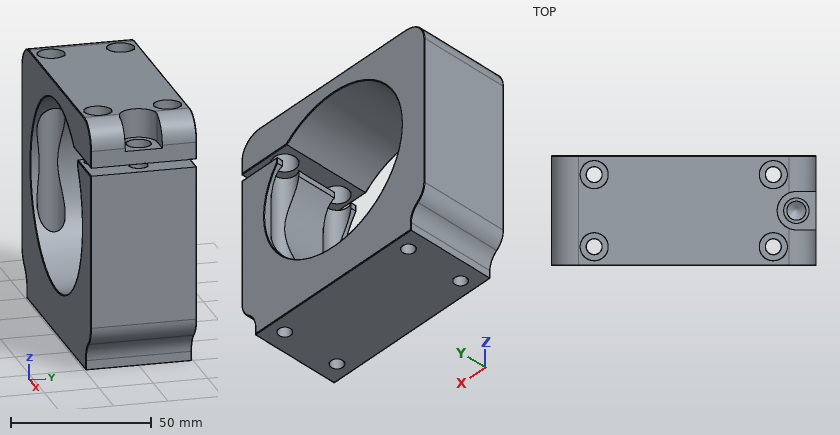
import cadquery as cq
import math

WIDTH = 94.0
DEPTH = 39.0
HEIGHT = 94.0

EDGE_CHAMFER = 0.3

TOP_RADIUS = 9.6

FOOT_WIDTH = 80.1
FOOT_HEIGHT = 3.5
SHOULDER_TOP = 17.95

BORE_RADIUS = 35.4
BORE_Z = 52.0

SLIT_BOTTOM = 75.1
SLIT_GAP = 3.0
LIP_X = 28.85
LIP_TRIM_HEIGHT = 3.8

MOUNT_SPACING_X = 63.5
MOUNT_SPACING_Y = 25.6
MOUNT_DIAMETER = 5.5
MOUNT_HEAD_DIAMETER = 10.0
MOUNT_FLOOR_Z = 10.0

SCREW_X = 39.9
SEAT_WIDTH = 13.6
SEAT_Z = 83.3
CLEARANCE_DIAMETER = 9.0
THREAD_DIAMETER = 6.8
THREAD_DEPTH = 20.0
DRILL_TIP_ANGLE = 118.0


def make_block():
    """Extrude the front outline across the full depth."""
    half_width = WIDTH / 2
    half_foot = FOOT_WIDTH / 2
    inset = half_width - half_foot
    drop = SHOULDER_TOP - FOOT_HEIGHT
    shoulder_radius = (inset**2 + drop**2) / (4 * inset)
    shoulder_x = (half_width + half_foot) / 2
    shoulder_z = (SHOULDER_TOP + FOOT_HEIGHT) / 2

    outline = (
        cq.Workplane("XZ", origin=(0, DEPTH / 2, 0))
        .moveTo(-half_foot, 0)
        .lineTo(half_foot, 0)
        .lineTo(half_foot, FOOT_HEIGHT)
        .radiusArc((shoulder_x, shoulder_z), shoulder_radius)
        .radiusArc((half_width, SHOULDER_TOP), -shoulder_radius)
        .lineTo(half_width, HEIGHT - TOP_RADIUS)
        .radiusArc((half_width - TOP_RADIUS, HEIGHT), -TOP_RADIUS)
        .lineTo(TOP_RADIUS - half_width, HEIGHT)
        .radiusArc((-half_width, HEIGHT - TOP_RADIUS), -TOP_RADIUS)
        .lineTo(-half_width, SHOULDER_TOP)
        .radiusArc((-shoulder_x, shoulder_z), -shoulder_radius)
        .radiusArc((-half_foot, FOOT_HEIGHT), shoulder_radius)
        .close()
    )
    return outline.extrude(DEPTH)


def make_clamp_opening():
    """Bore, slit and trimmed lower lip, joined into one cutter."""
    bore = (
        cq.Workplane("XZ", origin=(0, DEPTH / 2, BORE_Z))
        .circle(BORE_RADIUS)
        .extrude(DEPTH)
    )
    slit = cq.Workplane("XY").box(WIDTH / 2, DEPTH, SLIT_GAP, centered=(False, True, False))
    lip_trim = (
        cq.Workplane("XY", origin=(0, 0, SLIT_BOTTOM - LIP_TRIM_HEIGHT))
        .box(LIP_X, DEPTH, LIP_TRIM_HEIGHT, centered=(False, True, False))
    )
    return bore.union(slit.translate((0, 0, SLIT_BOTTOM))).union(lip_trim)


def make_mounting_holes():
    """Through holes with counterbores that also groove the bore wall."""
    def cylinders(diameter, floor_z):
        return (
            cq.Workplane("XY", origin=(0, 0, floor_z))
            .rarray(MOUNT_SPACING_X, MOUNT_SPACING_Y, 2, 2)
            .circle(diameter / 2)
            .extrude(HEIGHT - floor_z)
        )

    return cylinders(MOUNT_DIAMETER, 0).union(cylinders(MOUNT_HEAD_DIAMETER, MOUNT_FLOOR_Z))


def make_clamp_screw_hole():
    """Screw seat, clearance hole through the upper jaw and blind hole in the lower jaw."""
    seat_length = WIDTH / 2 - SCREW_X
    seat = (
        cq.Workplane("XY", origin=(SCREW_X, 0, SEAT_Z))
        .circle(SEAT_WIDTH / 2)
        .extrude(HEIGHT - SEAT_Z)
    )
    seat_exit = (
        cq.Workplane("XY", origin=(SCREW_X, 0, SEAT_Z))
        .box(seat_length, SEAT_WIDTH, HEIGHT - SEAT_Z, centered=(False, True, False))
    )
    clearance = (
        cq.Workplane("XY", origin=(SCREW_X, 0, SLIT_BOTTOM))
        .circle(CLEARANCE_DIAMETER / 2)
        .extrude(SEAT_Z - SLIT_BOTTOM)
    )
    radius = THREAD_DIAMETER / 2
    tip_height = radius / math.tan(math.radians(DRILL_TIP_ANGLE / 2))
    thread = (
        cq.Workplane("XZ", origin=(SCREW_X, 0, SLIT_BOTTOM))
        .lineTo(radius, 0)
        .lineTo(radius, -THREAD_DEPTH)
        .lineTo(0, -THREAD_DEPTH - tip_height)
        .close()
        .revolve(360, (0, 0, 0), (0, 1, 0))
    )
    return seat.union(seat_exit).union(clearance).union(thread)


body = make_block().cut(make_clamp_opening()).faces("<Y or >Y").chamfer(EDGE_CHAMFER)
result = body.cut(make_mounting_holes()).cut(make_clamp_screw_hole())